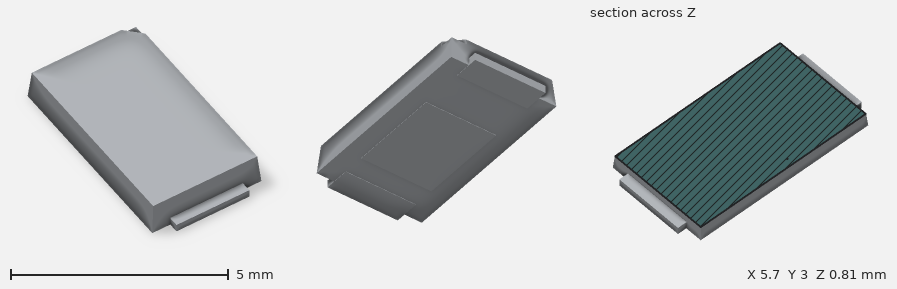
import cadquery as cq
import math

overall_length = 5.7
body_length = 5.2
body_width = 3.0
overall_height = 0.81
pad_standoff = 0.01
draft_angle = 5.0
body_height = overall_height - pad_standoff
draft_inset = body_height * math.tan(math.radians(draft_angle))
top_length = body_length - 2 * draft_inset
top_width = body_width - 2 * draft_inset

terminal_width = 2.0
terminal_height = 0.21
terminal_length = 0.7
thermal_pad_length = 2.5
thermal_pad_offset = 0.3

mark_leg = 0.4
mark_depth = 0.15

window_margin = 0.15
window_corner = 0.5
window_depth = 0.15
window_length = top_length - 2 * window_margin
window_width = top_width - 2 * window_margin


def make_body():
    """Tapered housing, standing on the height of the pads."""
    return (
        cq.Workplane("XY")
        .workplane(offset=pad_standoff)
        .rect(body_length, body_width)
        .extrude(body_height, taper=draft_angle)
    )


def make_polarity_cut():
    """Triangular prism at the -X +Y corner, reaching out past the drafted walls."""
    outer_leg = mark_leg + 2 * draft_inset
    corner_x = -top_length / 2 - draft_inset
    corner_y = top_width / 2 + draft_inset
    return (
        cq.Workplane("XY")
        .workplane(offset=overall_height - mark_depth)
        .moveTo(corner_x, corner_y)
        .lineTo(corner_x + outer_leg, corner_y)
        .lineTo(corner_x, corner_y - outer_leg)
        .close()
        .extrude(mark_depth)
    )


def make_pad(length, height, center_x):
    """Flat block resting on the mounting plane Z = 0."""
    return (
        cq.Workplane("XY")
        .center(center_x, 0)
        .rect(length, terminal_width)
        .extrude(height)
    )


def make_window():
    """Rectangular lens block with chamfered corners."""
    return (
        cq.Workplane("XY")
        .workplane(offset=overall_height - window_depth)
        .rect(window_length, window_width)
        .extrude(window_depth)
        .edges("|Z")
        .chamfer(window_corner)
    )


package = make_body().cut(make_polarity_cut())

for side in (-1, 1):
    terminal_center = side * (overall_length - terminal_length) / 2
    package = package.union(make_pad(terminal_length, terminal_height, terminal_center))

package = package.union(make_pad(thermal_pad_length, pad_standoff, thermal_pad_offset))

window = make_window()
result = package.cut(window).union(window, clean=False)